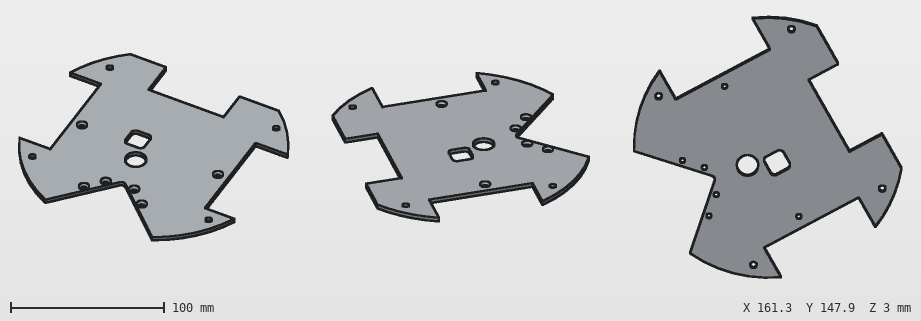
import cadquery as cq
import math

THICKNESS = 3.0
PLATE_RADIUS = 87.5
LEFT_TAB_TOP = 68.89
TAB_STEP = 2.1
RIGHT_TAB_TOP = LEFT_TAB_TOP - TAB_STEP

SIDE_NOTCH_LENGTH = 70.0
SIDE_NOTCH_FLOOR = 57.5
LEFT_NOTCH_Y = 0.0
RIGHT_NOTCH_Y = -2.25
TOP_NOTCH_WIDTH = 55.2
TOP_NOTCH_FLOOR = 44.75

VEE_CORNER = (-0.83, -39.45)
VEE_TILT = 2.0
VEE_LEG = 2 * PLATE_RADIUS
VEE_FILLET = 3.0

SCREW_DIAMETER = 3.2
COUNTERSINK_DIAMETER = 6.7
COUNTERSINK_ANGLE = 90.0
SIDE_SCREW_X = 50.0
SIDE_SCREW_Y = -5.1
VEE_SCREW_INSET = 3.8
VEE_SCREW_SPACING = 15.0
LEFT_VEE_SCREW_START = 11.2
RIGHT_VEE_SCREW_START = 9.2

TAB_HOLE_DIAMETER = 4.2
TAB_HOLES = [(-59.65, 51.45), (62.75, 51.45), (64.8, -45.9), (-64.4, -46.65)]
CABLE_HOLE_DIAMETER = 13.9
CABLE_HOLE_CENTRE = (-3.8, -17.7)

WINDOW_SIZE = 14.0
WINDOW_RADIUS = 3.0
WINDOW_CENTRE = (-11.5, -0.05)


def block(x_min, x_max, y_min, y_max):
    """Box through the full plate thickness."""
    return cq.Workplane("XY").box(
        x_max - x_min, y_max - y_min, THICKNESS, centered=False
    ).translate((x_min, y_min, 0))


def direction(angle):
    """Unit vector in the plate plane at the given angle in degrees."""
    return math.cos(math.radians(angle)), math.sin(math.radians(angle))


def offset_point(start, along, distance, across=(0, 0), inset=0):
    """Point reached from start by moving along one vector, then another."""
    return (
        start[0] + distance * along[0] + inset * across[0],
        start[1] + distance * along[1] + inset * across[1],
    )


left_edge_angle = -135 + VEE_TILT
right_edge_angle = -45 + VEE_TILT
LEFT_EDGE = direction(left_edge_angle)
RIGHT_EDGE = direction(right_edge_angle)
LEFT_NORMAL = direction(left_edge_angle - 90)
RIGHT_NORMAL = direction(right_edge_angle + 90)


def make_blank():
    disc = cq.Workplane("XY").circle(PLATE_RADIUS).extrude(THICKNESS)
    left_crop = block(-PLATE_RADIUS, 0, LEFT_TAB_TOP, PLATE_RADIUS)
    right_crop = block(0, PLATE_RADIUS, RIGHT_TAB_TOP, PLATE_RADIUS)
    return disc.cut(left_crop).cut(right_crop)


def cut_side_notches(plate):
    half_length = SIDE_NOTCH_LENGTH / 2
    left = block(-PLATE_RADIUS, -SIDE_NOTCH_FLOOR, LEFT_NOTCH_Y - half_length, LEFT_NOTCH_Y + half_length)
    right = block(SIDE_NOTCH_FLOOR, PLATE_RADIUS, RIGHT_NOTCH_Y - half_length, RIGHT_NOTCH_Y + half_length)
    return plate.cut(left).cut(right)


def cut_top_notch(plate):
    half_width = TOP_NOTCH_WIDTH / 2
    return plate.cut(block(-half_width, half_width, TOP_NOTCH_FLOOR, PLATE_RADIUS))


def cut_vee(plate):
    left_end = offset_point(VEE_CORNER, LEFT_EDGE, VEE_LEG)
    right_end = offset_point(VEE_CORNER, RIGHT_EDGE, VEE_LEG)
    wedge = cq.Workplane("XY").polyline([VEE_CORNER, left_end, right_end]).close().extrude(THICKNESS)
    wedge = wedge.edges("|Z").edges(">Y").fillet(VEE_FILLET)
    return plate.cut(wedge)


def screw_positions():
    positions = [(-SIDE_SCREW_X, SIDE_SCREW_Y), (SIDE_SCREW_X, SIDE_SCREW_Y)]
    rows = [
        (LEFT_EDGE, LEFT_NORMAL, LEFT_VEE_SCREW_START),
        (RIGHT_EDGE, RIGHT_NORMAL, RIGHT_VEE_SCREW_START),
    ]
    for edge, normal, start in rows:
        for distance in (start, start + VEE_SCREW_SPACING):
            positions.append(offset_point(VEE_CORNER, edge, distance, normal, VEE_SCREW_INSET))
    return positions


def top_plane():
    return cq.Workplane("XY", origin=(0, 0, THICKNESS))


def cut_screw_holes(plate):
    plate = plate.copyWorkplane(top_plane()).pushPoints(screw_positions())
    return plate.cskHole(SCREW_DIAMETER, COUNTERSINK_DIAMETER, COUNTERSINK_ANGLE)


def cut_plain_holes(plate):
    plate = plate.copyWorkplane(top_plane()).pushPoints(TAB_HOLES).hole(TAB_HOLE_DIAMETER)
    return plate.copyWorkplane(top_plane()).pushPoints([CABLE_HOLE_CENTRE]).hole(CABLE_HOLE_DIAMETER)


def cut_window(plate):
    window = cq.Workplane("XY").center(*WINDOW_CENTRE).rect(WINDOW_SIZE, WINDOW_SIZE).extrude(THICKNESS)
    return plate.cut(window.edges("|Z").fillet(WINDOW_RADIUS))


plate = make_blank()
plate = cut_side_notches(plate)
plate = cut_top_notch(plate)
plate = cut_vee(plate)
plate = cut_screw_holes(plate)
plate = cut_plain_holes(plate)
result = cut_window(plate)